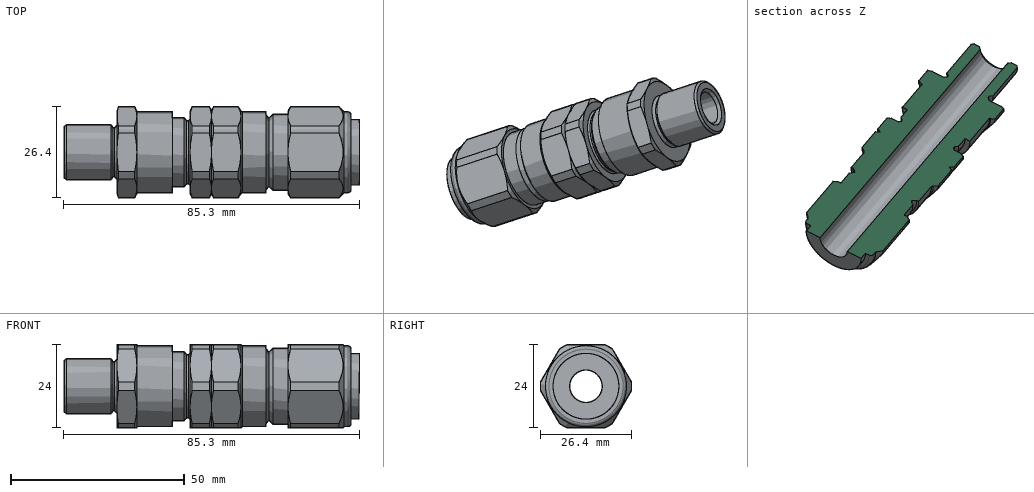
import cadquery as cq
import math

total_length = 85.3
bore_diameter = 9.3
bore_mouth_diameter = 11.0
bore_mouth_depth = 0.8

across_flats = 24.0
corner_diameter = 26.39

thread_diameter = 16.0
thread_neck_diameter = 14.2
body_diameter = 23.4
spigot_diameter = 20.0
spigot_neck_diameter = 18.3
rear_thread_diameter = 22.0
groove_bottom_diameter = 19.7
plug_diameter = 19.0

thread_chamfer = 0.6
thread_end = 13.5
thread_neck_start = 14.1
thread_neck_end = 14.5
entry_hex_start = 15.25
entry_hex_end = 20.95
front_body_end = 31.25
spigot_end = 34.6
spigot_neck_start = 35.35
spigot_neck_end = 35.85
lock_hex_start = 36.35
lock_hex_end = 42.5
middle_hex_end = 51.0
middle_body_start = 51.5
middle_body_end = 58.2
groove_bottom = 59.05
rear_thread_start = 60.25
nut_hex_start = 64.6
nut_hex_end = 80.8
nut_collar_end = 82.85

entry_front_cone = 0.4
plain_cone = 0.6
middle_rear_cone = 0.8
nut_front_cone = 0.75
nut_rear_cone = 1.5

nut_collar_fillet = 1.0
plug_face_tilt = 0.7


def turned(stations):
    """Solid of revolution about X from (x, diameter) stations."""
    outline = [(x, diameter / 2) for x, diameter in stations]
    profile = cq.Workplane("XZ").moveTo(outline[0][0], 0)
    for point in outline:
        profile = profile.lineTo(*point)
    profile = profile.lineTo(outline[-1][0], 0).close()
    return profile.revolve(360, (0, 0, 0), (1, 0, 0))


def hexagon(start, end, front_cone, rear_cone, rear_diameter=across_flats):
    """Hexagon along X with flats at +Z and -Z and its corners turned down."""
    across_corners = across_flats / math.cos(math.pi / 6)
    prism = cq.Workplane("YZ", origin=(start, 0, 0)).polygon(6, across_corners).extrude(end - start)
    envelope = turned([
        (start, across_flats),
        (start + front_cone, corner_diameter),
        (end - rear_cone, corner_diameter),
        (end, rear_diameter),
    ])
    return prism.intersect(envelope)


def front_core():
    """Entry thread, front body and spigot, up to the lock hexagon."""
    thread_tip_diameter = thread_diameter - 2 * thread_chamfer
    thread_flare_diameter = thread_neck_diameter + 2 * (entry_hex_start - thread_neck_end)
    spigot_flare_diameter = spigot_neck_diameter + 2 * (lock_hex_start - spigot_neck_end)
    return turned([
        (0, thread_tip_diameter),
        (thread_chamfer, thread_diameter),
        (thread_end, thread_diameter),
        (thread_neck_start, thread_neck_diameter),
        (thread_neck_end, thread_neck_diameter),
        (entry_hex_start, thread_flare_diameter),
        (entry_hex_start, body_diameter),
        (front_body_end, body_diameter),
        (front_body_end, spigot_diameter),
        (spigot_end, spigot_diameter),
        (spigot_neck_start, spigot_neck_diameter),
        (spigot_neck_end, spigot_neck_diameter),
        (lock_hex_start, spigot_flare_diameter),
    ])


def rear_core():
    """Middle body and rear thread, with a V groove between them."""
    return turned([
        (lock_hex_start, body_diameter),
        (middle_hex_end, body_diameter),
        (middle_hex_end, across_flats),
        (middle_body_start, body_diameter),
        (middle_body_end, body_diameter),
        (middle_body_end, rear_thread_diameter),
        (groove_bottom, groove_bottom_diameter),
        (rear_thread_start, rear_thread_diameter),
        (nut_hex_start, rear_thread_diameter),
    ])


def nut_collar():
    """Round collar behind the nut hexagon, its rear edge rounded."""
    collar = turned([(nut_hex_start, body_diameter), (nut_collar_end, body_diameter)])
    return collar.faces(">X").edges().fillet(nut_collar_fillet)


def plug():
    """Plug standing out of the nut, its end face leaning slightly."""
    radius = plug_diameter / 2
    bottom_length = total_length - plug_diameter * math.tan(math.radians(plug_face_tilt))
    side = (
        cq.Workplane("XZ", origin=(0, radius, 0))
        .moveTo(nut_hex_start, -radius)
        .lineTo(bottom_length, -radius)
        .lineTo(total_length, radius)
        .lineTo(nut_hex_start, radius)
        .close()
        .extrude(plug_diameter)
    )
    return side.intersect(turned([(nut_hex_start, plug_diameter), (total_length, plug_diameter)]))


def bore():
    """Through bore with a chamfered mouth at the thread end."""
    return turned([
        (0, bore_mouth_diameter),
        (bore_mouth_depth, bore_diameter),
        (total_length, bore_diameter),
    ])


hexagons = [
    hexagon(entry_hex_start, entry_hex_end, entry_front_cone, plain_cone),
    hexagon(lock_hex_start, lock_hex_end, plain_cone, plain_cone),
    hexagon(lock_hex_end, middle_hex_end, plain_cone, middle_rear_cone),
    hexagon(nut_hex_start, nut_hex_end, nut_front_cone, nut_rear_cone, body_diameter),
]

result = front_core().union(rear_core()).union(nut_collar()).union(plug())
for hexagon_body in hexagons:
    result = result.union(hexagon_body)
result = result.cut(bore())